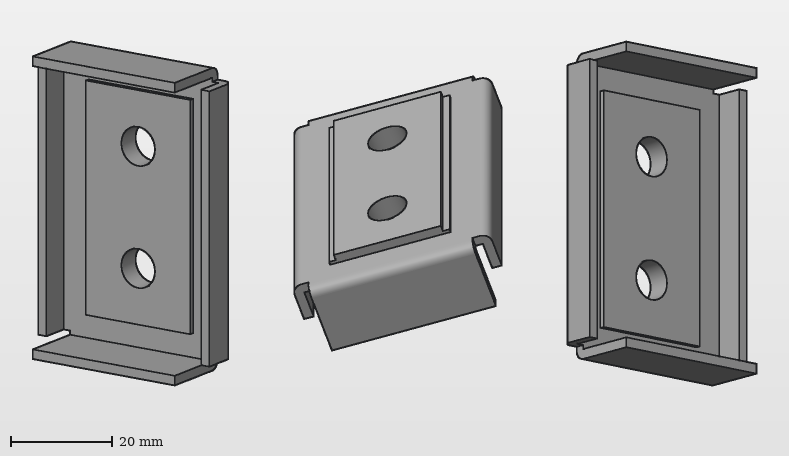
import cadquery as cq

width = 41.0
height = 62.0
sheet = 2.0
bend_radius = 2.0
end_flange_width = 34.0
end_flange_depth = 15.0
side_flange_height = 56.4
side_flange_depth = 8.0

pad_width = 25.0
pad_height = 48.0
pad_front_rise = 1.0
pad_back_rise = 0.7
back_step_width = 22.2
back_step_rise = 1.3

hole_diameter = 8.0
hole_spacing = 25.0

plate_front = -sheet
pad_front = plate_front - pad_front_rise
pad_back = pad_back_rise
rear = pad_back + back_step_rise


def block(size_x, y_front, y_back, size_z):
    """Box centred on X and Z, spanning two Y positions."""
    return cq.Workplane("XY").box(size_x, y_back - y_front, size_z).translate(
        (0, (y_front + y_back) / 2, 0)
    )


def side_channel():
    """Plate with the two side flanges and rounded outer folds."""
    outer = block(width, -side_flange_depth, 0, side_flange_height)
    outer = outer.edges("|Z and >Y").fillet(bend_radius)
    inner = block(width - 2 * sheet, -side_flange_depth, plate_front, side_flange_height)
    return outer.cut(inner)


def end_channel():
    """Plate with the top and bottom flanges and rounded outer folds."""
    outer = block(end_flange_width, -end_flange_depth, 0, height)
    outer = outer.edges("|X and >Y").fillet(bend_radius)
    inner = block(end_flange_width, -end_flange_depth, plate_front, height - 2 * sheet)
    return outer.cut(inner)


def pad():
    """Stepped pad passing through the plate."""
    body = block(pad_width, pad_front, pad_back, pad_height)
    return body.union(block(back_step_width, pad_back, rear, pad_height))


def holes():
    """Two through holes along Y, spaced on the vertical centre line."""
    return (
        cq.Workplane("XZ", origin=(0, rear, 0))
        .pushPoints([(0, -hole_spacing / 2), (0, hole_spacing / 2)])
        .circle(hole_diameter / 2)
        .extrude(rear - pad_front)
    )


result = side_channel().union(end_channel()).union(pad()).cut(holes())